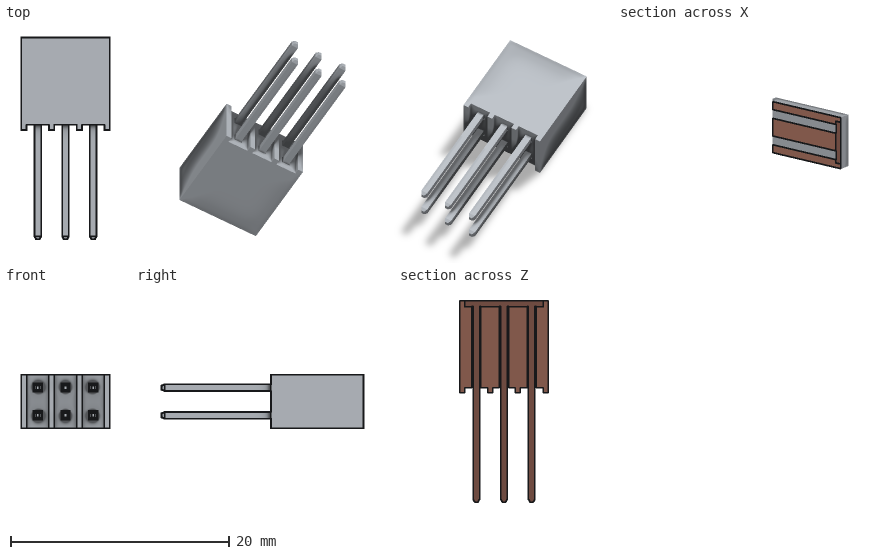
import cadquery as cq

TOTAL_LENGTH = 18.52
HOUSING_WIDTH = 8.13
HOUSING_HEIGHT = 4.95
HOUSING_LENGTH = 8.5

COLUMNS = 3
ROWS = 2
PITCH = 2.54

GROOVE_WIDTH = 2.04
GROOVE_DEPTH = 0.5

PIN_SIDE = 0.63
HOLE_SIDE = 0.8
TIP_LENGTH = 0.3
TIP_WIDTH = 0.3
TIP_HEIGHT = 0.37

CARRIER_THICKNESS = 0.55
CARRIER_MARGIN = 0.5

BACK_Y = TOTAL_LENGTH / 2
TIP_Y = -TOTAL_LENGTH / 2
RIB_Y = BACK_Y - HOUSING_LENGTH
GROOVE_FLOOR_Y = RIB_Y + GROOVE_DEPTH
CARRIER_Y = BACK_Y - CARRIER_THICKNESS
SHOULDER_Y = TIP_Y + TIP_LENGTH

COLUMN_X = [(i - (COLUMNS - 1) / 2) * PITCH for i in range(COLUMNS)]
ROW_Z = [(i - (ROWS - 1) / 2) * PITCH for i in range(ROWS)]
PIN_CENTRES = [(x, z) for x in COLUMN_X for z in ROW_Z]


def bar(width, height, y_front, y_back, x=0.0, z=0.0):
    """Rectangular bar along Y, centred on (x, z)."""
    length = y_back - y_front
    return cq.Workplane("XY").box(width, length, height).translate((x, y_front + length / 2, z))


def carrier_plate():
    """Plate that fills the recess in the back of the housing."""
    width = HOUSING_WIDTH - 2 * CARRIER_MARGIN
    height = HOUSING_HEIGHT - 2 * CARRIER_MARGIN
    return bar(width, height, CARRIER_Y, BACK_Y)


def pin(x, z):
    """Square pin from the carrier plate to its tapered tip."""
    shank = bar(PIN_SIDE, PIN_SIDE, SHOULDER_Y, CARRIER_Y, x, z)
    tip = (
        cq.Workplane("XZ", origin=(x, SHOULDER_Y, z))
        .rect(PIN_SIDE, PIN_SIDE)
        .workplane(offset=TIP_LENGTH)
        .rect(TIP_WIDTH, TIP_HEIGHT)
        .loft(ruled=True)
    )
    return shank.union(tip)


def make_housing():
    """Block with grooves on the pin side, pin holes and a recess for the carrier plate."""
    housing = bar(HOUSING_WIDTH, HOUSING_HEIGHT, RIB_Y, BACK_Y)
    for x in COLUMN_X:
        housing = housing.cut(bar(GROOVE_WIDTH, HOUSING_HEIGHT, RIB_Y, GROOVE_FLOOR_Y, x))
    for x, z in PIN_CENTRES:
        housing = housing.cut(bar(HOLE_SIDE, HOLE_SIDE, GROOVE_FLOOR_Y, CARRIER_Y, x, z))
    return housing.cut(carrier_plate())


def make_contact_set():
    """All pins joined by the carrier plate into one solid."""
    contacts = carrier_plate()
    for x, z in PIN_CENTRES:
        contacts = contacts.union(pin(x, z))
    return contacts


housing = make_housing()
contact_set = make_contact_set()

result = cq.Compound.makeCompound([housing.val(), contact_set.val()])